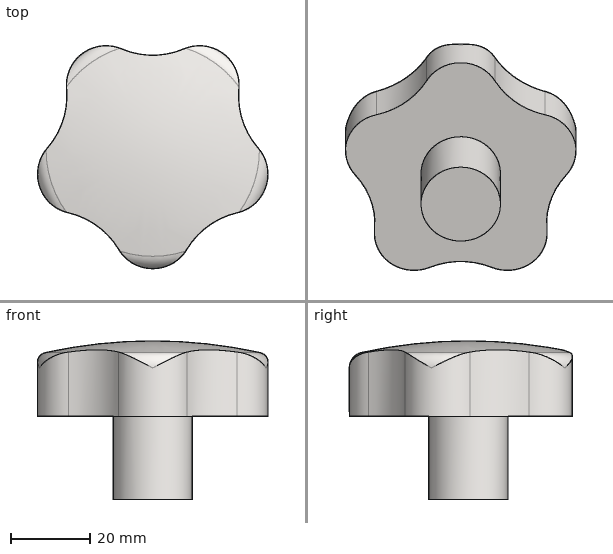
import cadquery as cq
import math


total_height = 40.0
hub_diameter = 20.0
hub_length = 21.0
lobe_count = 5
lobe_circle_radius = 20.0
lobe_radius = 10.0
notch_radius = 20.0
dome_radius = 125.0
rim_radius = 4.0
first_lobe_angle = -90.0

head_radius = lobe_circle_radius + lobe_radius
lobe_pitch = 360.0 / lobe_count
half_pitch = math.radians(lobe_pitch / 2)
notch_circle_radius = lobe_circle_radius * math.cos(half_pitch) + math.sqrt(
    (lobe_radius + notch_radius) ** 2 - (lobe_circle_radius * math.sin(half_pitch)) ** 2
)
notch_floor_radius = notch_circle_radius - notch_radius


def polar(radius, angle):
    """Point at a radius from the axis and an angle in degrees."""
    return radius * math.cos(math.radians(angle)), radius * math.sin(math.radians(angle))


def tangent_point(lobe_angle, notch_angle):
    """Point where a lobe arc runs smoothly into a notch arc."""
    lobe_x, lobe_y = polar(lobe_circle_radius, lobe_angle)
    notch_x, notch_y = polar(notch_circle_radius, notch_angle)
    share = lobe_radius / (lobe_radius + notch_radius)
    return lobe_x + share * (notch_x - lobe_x), lobe_y + share * (notch_y - lobe_y)


def make_star():
    """Straight star-shaped prism, tall enough to be trimmed by the crown."""
    start_angle = first_lobe_angle - lobe_pitch / 2
    outline = cq.Workplane("XY", origin=(0, 0, hub_length)).moveTo(
        *tangent_point(first_lobe_angle, start_angle)
    )
    for index in range(lobe_count):
        lobe_angle = first_lobe_angle + index * lobe_pitch
        notch_angle = lobe_angle + lobe_pitch / 2
        outline = outline.threePointArc(
            polar(head_radius, lobe_angle), tangent_point(lobe_angle, notch_angle)
        )
        outline = outline.threePointArc(
            polar(notch_floor_radius, notch_angle),
            tangent_point(lobe_angle + lobe_pitch, notch_angle),
        )
    return outline.close().extrude(total_height - hub_length)


def make_crown():
    """Round blank with a spherical top blended into its vertical side."""
    dome_centre_z = total_height - dome_radius
    rim_centre_r = head_radius - rim_radius
    rim_centre_z = dome_centre_z + math.sqrt((dome_radius - rim_radius) ** 2 - rim_centre_r ** 2)
    blend_angle = math.atan2(rim_centre_z - dome_centre_z, rim_centre_r)

    def on_dome(angle):
        return dome_radius * math.cos(angle), dome_centre_z + dome_radius * math.sin(angle)

    def on_rim(angle):
        return rim_centre_r + rim_radius * math.cos(angle), rim_centre_z + rim_radius * math.sin(angle)

    return (
        cq.Workplane("XZ")
        .moveTo(0, hub_length)
        .lineTo(head_radius, hub_length)
        .lineTo(head_radius, rim_centre_z)
        .threePointArc(on_rim(blend_angle / 2), on_dome(blend_angle))
        .threePointArc(on_dome((blend_angle + math.pi / 2) / 2), (0, total_height))
        .close()
        .revolve(360, (0, 0, 0), (0, 1, 0))
    )


def make_hub():
    """Plain cylinder below the head."""
    return cq.Workplane("XY").circle(hub_diameter / 2).extrude(hub_length)


head = make_star().intersect(make_crown())
result = head.union(make_hub())